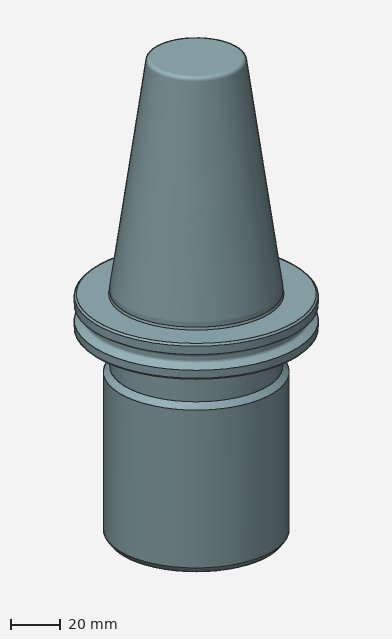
import cadquery as cq

total_height = 211.5
taper_length = 101.5
gauge_z = total_height - taper_length

taper_ratio = 7 / 24
gauge_radius = 69.8 / 2
tip_round = 2.0
flare_height = 1.0
flare_width = 0.5

flange_radius = 98.4 / 2
flange_top = gauge_z - 3.2
flange_bottom = gauge_z - 19.0
flange_chamfer = 0.8
groove_floor_radius = 91.2 / 2
groove_center_z = 98.8
groove_floor_height = 3.2
groove_floor_round = 1.0
groove_mouth_height = 7.0

neck_radius = gauge_radius
body_radius = 75.0 / 2
shoulder_z = 72.4
shoulder_height = body_radius - neck_radius
foot_chamfer_height = 2.5
foot_chamfer_width = 2.0


def make_shank():
    tip_radius = gauge_radius - taper_ratio * taper_length / 2
    taper = (
        cq.Workplane("XZ")
        .moveTo(0, gauge_z)
        .lineTo(gauge_radius, gauge_z)
        .lineTo(tip_radius, total_height)
        .lineTo(0, total_height)
        .close()
        .revolve(360, (0, 0), (0, 1))
        .faces(">Z")
        .edges()
        .fillet(tip_round)
    )
    land = (
        cq.Workplane("XZ")
        .moveTo(0, flange_top)
        .lineTo(gauge_radius + flare_width, flange_top)
        .lineTo(gauge_radius, flange_top + flare_height)
        .lineTo(gauge_radius, gauge_z)
        .lineTo(0, gauge_z)
        .close()
        .revolve(360, (0, 0), (0, 1))
    )
    return taper.union(land)


def make_flange():
    flange = (
        cq.Workplane("XY", origin=(0, 0, flange_bottom))
        .circle(flange_radius)
        .extrude(flange_top - flange_bottom)
        .edges()
        .chamfer(flange_chamfer)
    )
    half_floor = groove_floor_height / 2
    half_mouth = groove_mouth_height / 2
    groove = (
        cq.Workplane("XZ")
        .moveTo(groove_floor_radius, groove_center_z - half_floor)
        .lineTo(flange_radius, groove_center_z - half_mouth)
        .lineTo(flange_radius, groove_center_z + half_mouth)
        .lineTo(groove_floor_radius, groove_center_z + half_floor)
        .close()
        .revolve(360, (0, 0), (0, 1))
    )
    floor_edges = cq.selectors.RadiusNthSelector(0)
    groove = groove.edges(floor_edges).fillet(groove_floor_round)
    return flange.cut(groove)


def make_body():
    return (
        cq.Workplane("XZ")
        .lineTo(body_radius - foot_chamfer_width, 0)
        .lineTo(body_radius, foot_chamfer_height)
        .lineTo(body_radius, shoulder_z)
        .lineTo(neck_radius, shoulder_z + shoulder_height)
        .lineTo(neck_radius, flange_bottom)
        .lineTo(0, flange_bottom)
        .close()
        .revolve(360, (0, 0), (0, 1))
    )


result = make_body().union(make_flange()).union(make_shank())